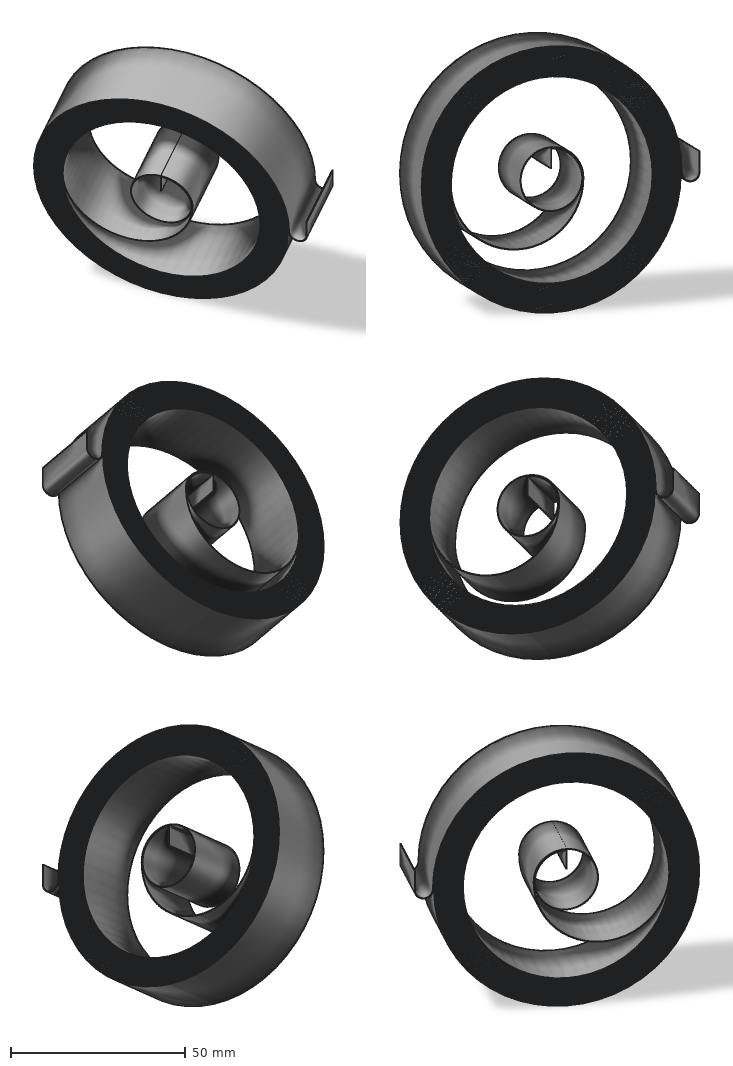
import cadquery as cq
import math

strip_width = 22.0
turn_pitch = 0.3
turn_clearance = 0.005
strip_thickness = turn_pitch - turn_clearance

hub_start_radius = 9.3
tail_length = 6.05

coil_outer_radius = 39.0
coil_turns = 30

hook_inner_radius = 2.5
hook_leg_length = 6.0

RIGHT, TOP, LEFT, BOTTOM = 0, 90, 180, -90
QUARTER = 90
HALF = 180



def point_on(center, radius, angle):
    turned = math.radians(angle)
    return (center[0] + radius * math.cos(turned), center[1] + radius * math.sin(turned))


def hub_arcs():
    """One full turn as right-hand and left-hand halves, then a quarter overlapping its start."""
    step = turn_pitch / 2
    return [
        ((0, 0), hub_start_radius, TOP, -HALF),
        ((0, step), hub_start_radius + step, BOTTOM, -HALF),
        ((0, 0), hub_start_radius + turn_pitch, TOP, -QUARTER),
    ]


def lower_arcs(right_x, left_x):
    """Half turn below the axis, as two quarters, from the right crossing to the left one."""
    center = ((right_x + left_x) / 2, 0)
    radius = (right_x - left_x) / 2
    return [
        (center, radius, RIGHT, -QUARTER),
        (center, radius, BOTTOM, -QUARTER),
    ]


def coil_arcs():
    """The sweep out from the hub, then the close-wound turns, all as half turns."""
    arcs = []
    right_x = hub_start_radius + turn_pitch
    first_radius = coil_outer_radius - (coil_turns - 1) * turn_pitch
    for turn in range(coil_turns):
        radius = first_radius + turn * turn_pitch
        arcs += lower_arcs(right_x, -radius)
        arcs.append(((0, 0), radius, LEFT, -HALF))
        right_x = radius
    return arcs


def hook_arcs():
    """Anticlockwise half turn, as two quarters, that bends the strip outwards and up."""
    center = (coil_outer_radius + hook_inner_radius, 0)
    return [
        (center, hook_inner_radius, LEFT, QUARTER),
        (center, hook_inner_radius, BOTTOM, QUARTER),
    ]


def follow(path, arcs):
    """Adds the arcs to the end of the path."""
    for center, radius, start, sweep in arcs:
        middle = point_on(center, radius, start + sweep / 2)
        path = path.threePointArc(middle, point_on(center, radius, start + sweep))
    return path


def opposite_face(arcs):
    """The arcs of the strip's other face, one thickness away, listed from the hook back to the tail."""
    back = []
    for center, radius, start, sweep in reversed(arcs):
        radius_change = math.copysign(strip_thickness, sweep)
        back.append((center, radius + radius_change, start + sweep, -sweep))
    return back


def build_spring():
    arcs = hub_arcs() + coil_arcs() + hook_arcs()
    tail_tip_z = hub_start_radius - tail_length
    hook_left_x = coil_outer_radius + 2 * hook_inner_radius
    hook_right_x = hook_left_x + strip_thickness

    path = cq.Workplane("XZ", origin=(0, strip_width / 2, 0))
    path = path.moveTo(-strip_thickness, tail_tip_z)
    path = path.lineTo(-strip_thickness, hub_start_radius)
    path = path.lineTo(0, hub_start_radius)
    path = follow(path, arcs)
    path = path.lineTo(hook_left_x, hook_leg_length)
    path = path.lineTo(hook_right_x, hook_leg_length)
    path = path.lineTo(hook_right_x, 0)
    path = follow(path, opposite_face(arcs))
    path = path.lineTo(0, tail_tip_z).close()
    return path.extrude(strip_width, clean=False)


result = build_spring()